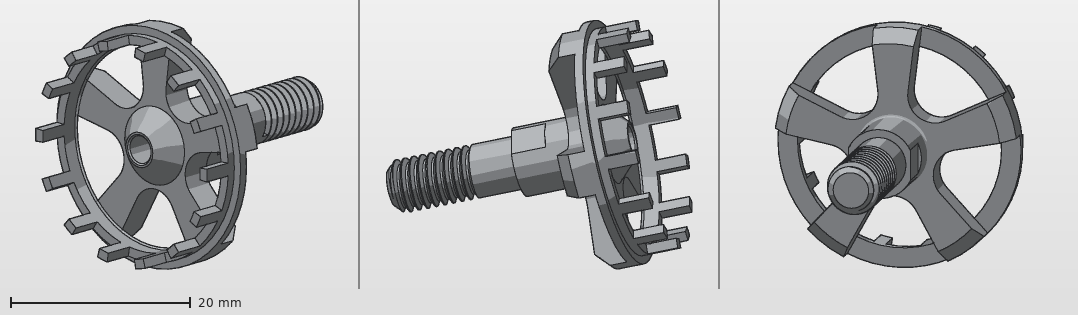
import cadquery as cq
import math


cone_tip_y = 2.98
rim_front_y = 3.5
flange_front_y = 4.5
spoke_front_y = 5.5
spoke_back_y = 9.0
flat_start_y = 12.0
hub_end_y = 16.0
tip_y = 31.0

flange_radius = 13.83
rim_radius = 12.9
rim_bore_radius = 11.8
lip_radius = 11.6
spoke_bevel = 1.58

cutter_reach = 15.5

spoke_count = 5
window_end_radius = 3.0
window_end_centre = 8.0
window_side_angle = 29.0

pin_count = 14
pin_angle = 6.6

cone_tip_radius = 2.0
cone_base_radius = 4.5
hole_radius = 1.58
hole_chamfer = 0.2
hole_depth = 7.75
drill_point_angle = 118.0

hub_radius = 3.9
hub_fillet = 0.28
flat_distance = 3.5
shank_radius = 3.0
tip_chamfer = 1.0
stock_end_y = 34.1

nine_turns = 9.0
pitch = nine_turns / 9
thread_side_y = 21.0
thread_lead_angle = 30.0
thread_start_y = thread_side_y - pitch * thread_lead_angle / 360
flank_angle = 30.0
sharp_height = pitch / 2 / math.tan(math.radians(flank_angle))
thread_depth = 5 / 8 * sharp_height
root_width = pitch / 4
overcut = 0.05


def turned(points):
    """Solid of revolution about Y from (radius, y) points."""
    return cq.Workplane("XY").polyline(points).close().revolve(360, (0, 0), (0, 1))


def around_axis(body, angle):
    """Turn a body about the Y axis."""
    return body.rotate((0, 0, 0), (0, 1, 0), angle)


def polar(radius, degrees):
    """Point at a radius and an angle, in a plane across the axis."""
    angle = math.radians(degrees)
    return (radius * math.cos(angle), radius * math.sin(angle))


def pin_gap():
    """Wedge cutter for the gap between two pins, the first one beyond the pin on the +X side."""
    start = pin_angle / 2
    end = 360 / pin_count - pin_angle / 2
    return (
        cq.Workplane("XZ")
        .polyline([(0, 0), polar(cutter_reach, start), polar(cutter_reach, end)])
        .close()
        .extrude(-rim_front_y)
    )


def rim():
    """Stepped ring with a small conical lip at the back of its bore, cut into pins at the front."""
    lip_height = rim_bore_radius - lip_radius
    ring = turned([
        (rim_bore_radius, 0),
        (rim_radius, 0),
        (rim_radius, flange_front_y),
        (flange_radius, flange_front_y),
        (flange_radius, spoke_front_y),
        (lip_radius, spoke_front_y),
        (rim_bore_radius, spoke_front_y - lip_height),
    ])
    for i in range(pin_count):
        ring = ring.cut(around_axis(pin_gap(), i * 360 / pin_count))
    return ring


def window():
    """Round-ended cutter below the axis whose sides spread outwards."""
    side = math.radians(window_side_angle)
    tangent_x = window_end_radius * math.cos(side)
    tangent_z = -window_end_centre + window_end_radius * math.sin(side)
    outer_x = tangent_x + (cutter_reach + tangent_z) * math.tan(side)
    return (
        cq.Workplane("XZ", origin=(0, spoke_front_y, 0))
        .moveTo(-outer_x, -cutter_reach)
        .lineTo(-tangent_x, tangent_z)
        .threePointArc((0, window_end_radius - window_end_centre), (tangent_x, tangent_z))
        .lineTo(outer_x, -cutter_reach)
        .close()
        .extrude(spoke_front_y - spoke_back_y)
    )


def spokes():
    """Disc with a bevelled back edge, cut into spokes by the windows."""
    disc = turned([
        (0, spoke_front_y),
        (flange_radius, spoke_front_y),
        (flange_radius, spoke_back_y - spoke_bevel),
        (flange_radius - spoke_bevel, spoke_back_y),
        (0, spoke_back_y),
    ])
    for i in range(spoke_count):
        disc = disc.cut(around_axis(window(), i * 360 / spoke_count))
    return disc


def hub():
    """Front cone and hub with a fillet at its foot."""
    return (
        cq.Workplane("YZ")
        .moveTo(cone_tip_y, 0)
        .lineTo(cone_tip_y, cone_tip_radius)
        .lineTo(spoke_front_y, cone_base_radius)
        .lineTo(spoke_back_y, cone_base_radius)
        .lineTo(spoke_back_y, hub_radius + hub_fillet)
        .radiusArc((spoke_back_y + hub_fillet, hub_radius), -hub_fillet)
        .lineTo(hub_end_y, hub_radius)
        .lineTo(hub_end_y, 0)
        .close()
        .revolve(360, (0, 0), (1, 0))
    )


def hub_flat(side):
    """Cutter for the wrench flat on one side of the hub (side is +1 or -1)."""
    depth = hub_radius - flat_distance
    length = hub_end_y - flat_start_y
    return cq.Workplane("XY").box(depth, length, 2 * hub_radius).translate(
        (side * (flat_distance + depth / 2), flat_start_y + length / 2, 0)
    )


def cone_hole():
    """Blind drilled hole with a chamfered mouth."""
    point_length = hole_radius / math.tan(math.radians(drill_point_angle / 2))
    return turned([
        (0, cone_tip_y),
        (hole_radius + hole_chamfer, cone_tip_y),
        (hole_radius, cone_tip_y + hole_chamfer),
        (hole_radius, cone_tip_y + hole_depth),
        (0, cone_tip_y + hole_depth + point_length),
    ])


def thread_groove():
    """Flat-bottomed V groove wound left-handed from just ahead of the +X side to beyond the tip."""
    root_radius = shank_radius - thread_depth
    mouth_radius = shank_radius + overcut
    flank_slope = math.tan(math.radians(flank_angle))
    half_mouth = root_width / 2 + (mouth_radius - root_radius) * flank_slope
    length = tip_y - thread_start_y + pitch
    helix = cq.Wire.makeHelix(pitch, length, shank_radius, lefthand=True)
    groove = (
        cq.Workplane("XZ")
        .polyline([
            (root_radius, -root_width / 2),
            (mouth_radius, -half_mouth),
            (mouth_radius, half_mouth),
            (root_radius, root_width / 2),
        ])
        .close()
        .sweep(cq.Workplane(helix), isFrenet=True)
    )
    groove = groove.rotate((0, 0, 0), (1, 0, 0), -90).translate((0, thread_start_y, 0))
    return around_axis(groove, thread_lead_angle)


def tip_trimmer():
    """Cutter that shapes the tip chamfer and removes the stock beyond the tip."""
    outside = 2 * shank_radius
    return turned([
        (0, tip_y),
        (shank_radius - tip_chamfer, tip_y),
        (outside, tip_y - tip_chamfer - shank_radius),
        (outside, stock_end_y),
        (0, stock_end_y),
    ])


def shank():
    """Round bar with the thread, cut over length and then trimmed to the tip."""
    bar = (
        cq.Workplane("XZ", origin=(0, spoke_back_y, 0))
        .circle(shank_radius)
        .extrude(spoke_back_y - stock_end_y)
    )
    return bar.cut(thread_groove()).cut(tip_trimmer())


spindle = hub().union(shank())
for side in (-1, 1):
    spindle = spindle.cut(hub_flat(side))

result = spokes().union(rim()).union(spindle).cut(cone_hole())